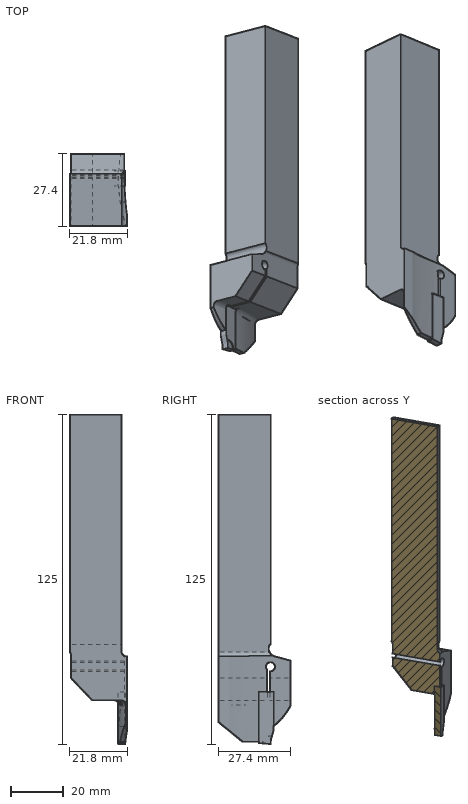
import cadquery as cq
import math


total_length = 125.0
shank_x = 19.6
shank_y = 19.9

head_x_min = 0.4
head_x_max = 21.8
head_y = 27.4
head_bottom = 16.6
head_side_top = 33.4
side_relief_z = 33.9
relief_radius = 1.9
corner_width = 8.1
corner_height = 8.5

undercut_y = 19.1
undercut_top = 38.0
undercut_radius = 3.0
shoulder_edge_z = 31.8
shoulder_angle = math.radians(15)

slit_y = 19.0
slit_width = 1.0
relief_hole_y = 19.8
relief_hole_z = 29.4
relief_hole_diameter = 3.4

blade_x_min = 18.4
blade_outer_radius = 56.2
blade_tangent_y = 17.8
side_x = 20.8
side_hollow_radius = 93.8
blade_bottom = 0.9
blade_back_z = 8.4
blade_bottom_y = 9.2
jaw_front_z = 14.5
jaw_mid = (24.4, 10.1)
jaw_end = (21.0, 6.9)
root_radius = 1.6

insert_x_min = 18.2
insert_width = 2.8
insert_y_min = 15.4
insert_y_max = 21.0
insert_top = 19.9
tip_y = shank_y
rake_top = 5.2
edge_y = 20.0
edge_top = 1.9
heel_z = 0.4
clearance_radius = 3.2
clearance_angle = 3.0


def width_slab():
    """Outline of shank and head in the XZ plane, extruded over the full depth."""
    step = head_x_min
    set_back_rise = math.sqrt(2 * relief_radius * step - step ** 2)
    set_back_angle = math.acos(1 - step / relief_radius) / 2
    set_back_mid = (
        head_x_min - relief_radius * (1 - math.cos(set_back_angle)),
        side_relief_z + relief_radius * math.sin(set_back_angle),
    )
    shoulder_mid = (
        shank_x + relief_radius * (1 - math.cos(math.pi / 4)),
        head_side_top + relief_radius * (1 - math.sin(math.pi / 4)),
    )
    return (
        cq.Workplane("XZ")
        .moveTo(0, total_length)
        .lineTo(shank_x, total_length)
        .lineTo(shank_x, head_side_top + relief_radius)
        .threePointArc(shoulder_mid, (shank_x + relief_radius, head_side_top))
        .lineTo(head_x_max, head_side_top)
        .lineTo(head_x_max, head_bottom)
        .lineTo(head_x_min + corner_width, head_bottom)
        .lineTo(head_x_min, head_bottom + corner_height)
        .lineTo(head_x_min, side_relief_z)
        .threePointArc(set_back_mid, (0, side_relief_z + set_back_rise))
        .close()
        .extrude(-head_y)
    )


def depth_slab():
    """Outline of shank, undercut and sloped shoulder in the YZ plane, over the full width."""
    centre_y = undercut_y + undercut_radius
    end_y = centre_y - undercut_radius * math.sin(shoulder_angle)
    end_z = shoulder_edge_z + (head_y - end_y) * math.tan(shoulder_angle)
    centre_z = end_z + undercut_radius * math.cos(shoulder_angle)
    mid_angle = (math.pi / 2 - shoulder_angle) / 2
    lower_mid = (
        centre_y - undercut_radius * math.cos(mid_angle),
        centre_z - undercut_radius * math.sin(mid_angle),
    )
    depth = shank_y - undercut_y
    upper_rise = math.sqrt(2 * relief_radius * depth - depth ** 2)
    upper_angle = math.acos(1 - depth / relief_radius) / 2
    upper_mid = (
        undercut_y + relief_radius * (1 - math.cos(upper_angle)),
        undercut_top - upper_rise + relief_radius * math.sin(upper_angle),
    )
    return (
        cq.Workplane("YZ")
        .moveTo(0, head_bottom)
        .lineTo(head_y, head_bottom)
        .lineTo(head_y, shoulder_edge_z)
        .lineTo(end_y, end_z)
        .threePointArc(lower_mid, (undercut_y, centre_z))
        .lineTo(undercut_y, undercut_top - upper_rise)
        .threePointArc(upper_mid, (shank_y, undercut_top))
        .lineTo(shank_y, total_length)
        .lineTo(0, total_length)
        .close()
        .extrude(head_x_max)
    )


def blade():
    """Blade below the head, convex on -X."""
    plate = (
        cq.Workplane("YZ", origin=(blade_x_min, 0, 0))
        .moveTo(0, head_bottom)
        .lineTo(0, blade_back_z)
        .lineTo(blade_bottom_y, blade_bottom)
        .lineTo(insert_y_min, blade_bottom)
        .lineTo(*jaw_end)
        .threePointArc(jaw_mid, (head_y, jaw_front_z))
        .lineTo(head_y, head_bottom)
        .close()
        .extrude(head_x_max - blade_x_min)
    )
    outer_cylinder = (
        cq.Workplane("XY")
        .center(blade_x_min + blade_outer_radius, blade_tangent_y)
        .circle(blade_outer_radius)
        .extrude(head_bottom)
    )
    return plate.intersect(outer_cylinder)


def side_hollow():
    """Cutter for the +X side of the head and the blade: flat at +Y, concave toward -Y."""
    reach = side_x + side_hollow_radius - head_x_max
    end_angle = math.acos(reach / side_hollow_radius)

    def on_arc(angle):
        return (
            side_x + side_hollow_radius * (1 - math.cos(angle)),
            blade_tangent_y - side_hollow_radius * math.sin(angle),
        )

    return (
        cq.Workplane("XY")
        .moveTo(head_x_max, head_y)
        .lineTo(side_x, head_y)
        .lineTo(side_x, blade_tangent_y)
        .threePointArc(on_arc(end_angle / 2), on_arc(end_angle))
        .close()
        .extrude(head_side_top + relief_radius)
    )


def clamping_slit():
    """Slit and relief hole that let the jaw flex, through the head along X."""
    slit = (
        cq.Workplane("XY")
        .box(head_x_max, slit_width, relief_hole_z - head_bottom, centered=(False, True, False))
        .translate((0, slit_y, head_bottom))
    )
    hole = (
        cq.Workplane("YZ")
        .center(relief_hole_y, relief_hole_z)
        .circle(relief_hole_diameter / 2)
        .extrude(head_x_max)
    )
    return slit.union(hole)


def insert_blank():
    """Insert without its side clearance; also the shape of its seat."""
    outline = [
        (insert_y_min, insert_top),
        (insert_y_min, heel_z),
        (tip_y, 0),
        (edge_y, edge_top),
        (insert_y_max, rake_top),
        (insert_y_max, insert_top),
    ]
    return cq.Workplane("YZ", origin=(insert_x_min, 0, 0)).polyline(outline).close().extrude(insert_width)


def insert_mouth():
    """Opening through the blade's root fillet in front of the insert."""
    return (
        cq.Workplane("XY")
        .box(root_radius * 2, insert_y_max - insert_y_min, head_bottom, centered=False)
        .translate((insert_x_min - root_radius * 2, insert_y_min, 0))
    )


def make_holder():
    """Shank, head and blade as one body, with the insert's seat cut in."""
    body = width_slab().intersect(depth_slab()).union(blade())
    tolerance = 0.1
    bottom_slice = cq.selectors.BoxSelector(
        (0, -tolerance, head_bottom - tolerance),
        (head_x_max, head_y + tolerance, head_bottom + tolerance),
    )
    body = body.edges(bottom_slice).edges("%CIRCLE").fillet(root_radius)
    body = body.cut(side_hollow()).cut(clamping_slit())
    return body.cut(insert_blank()).cut(insert_mouth()).solids()


def make_insert():
    """Insert with a shallow side clearance behind its cutting tip."""
    clearance = (
        cq.Workplane("YZ")
        .center(tip_y - insert_y_max, 0)
        .circle(clearance_radius)
        .extrude(-insert_width)
        .rotate((0, 0, 0), (0, 0, 1), clearance_angle)
        .translate((insert_x_min, insert_y_max, 0))
    )
    return insert_blank().cut(clearance).solids()


holder = make_holder()
insert = make_insert()

result = cq.Compound.makeCompound([holder.val(), insert.val()])